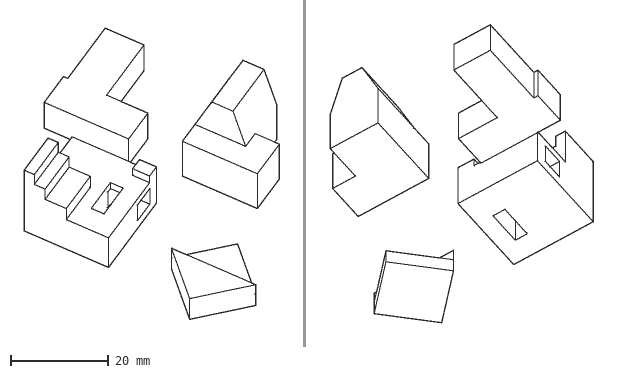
import cadquery as cq


def box(x, y, z, length, width, height):
    """Box with its lowest corner at (x, y, z)."""
    return cq.Workplane("XY").box(length, width, height, centered=False).translate((x, y, z))


module = 20.0
half_module = module / 2

angle_y = 34.2
angle_height = 8.2
angle_foot_width = 8.05
angle_stem_offset = 1.0
angle_stem_length = 9.2
angle_total_width = 23.6

stair_x = 10.1
stair_y = 8.1
stair_base_height = 9.45
steps = [(half_module, 12.95), (5.0, 16.2), (2.4, 19.35)]
stud_length = 4.0
stud_width = 2.9
stud_height = 2.1
slot_x = 12.95
slot_y = 5.2
slot_length = 3.0
slot_width = 8.0
tunnel_y = 12.05
tunnel_z = 2.55
tunnel_width = 5.1
tunnel_height = 5.0

roof_x = 31.1
roof_y = 37.0
roof_base_height = 11.1
roof_foot_length = 17.75
roof_foot_width = 9.2
roof_total_width = 18.2
ridge_length = 12.0
ridge_width = 12.95
ridge_top_start = 4.0
ridge_top_end = 9.0
ridge_height = 9.45

diamond_x = 63.8 - half_module
diamond_y = half_module
diamond_z = 5.7
diamond_height = 6.65
diamond_step = 3.05


def make_angle_block():
    foot = box(0, angle_y, 0, module, angle_foot_width, angle_height)
    stem = box(angle_stem_offset, angle_y, 0, angle_stem_length, angle_total_width, angle_height)
    return foot.union(stem)


def make_stair_block():
    body = box(0, 0, 0, module, module, stair_base_height)
    for reach, height in steps:
        body = body.union(box(0, 0, 0, reach, half_module, height))

    stud = box(
        module - stud_length, module - stud_width, stair_base_height,
        stud_length, stud_width, stud_height,
    )
    slot = box(slot_x, slot_y, 0, slot_length, slot_width, stair_base_height)
    tunnel = box(0, tunnel_y, tunnel_z, module, tunnel_width, tunnel_height)
    return body.union(stud).cut(slot).cut(tunnel).translate((stair_x, stair_y, 0))


def make_roof_block():
    foot = box(0, 0, 0, roof_foot_length, roof_foot_width, roof_base_height)
    stem = box(0, 0, 0, ridge_length, roof_total_width, roof_base_height)
    ridge_top = roof_base_height + ridge_height
    ridge = (
        cq.Workplane("XZ", origin=(0, roof_total_width, 0))
        .moveTo(0, roof_base_height)
        .lineTo(ridge_length, roof_base_height)
        .lineTo(ridge_top_end, ridge_top)
        .lineTo(ridge_top_start, ridge_top)
        .close()
        .extrude(ridge_width)
    )
    return foot.union(stem).union(ridge).translate((roof_x, roof_y, 0))


def make_diamond_block():
    corners = [(-half_module, 0), (0, -half_module), (half_module, 0), (0, half_module)]
    prism = cq.Workplane("XY").polyline(corners).close().extrude(diamond_height)
    rear_cut = box(
        -half_module, 0, diamond_height - diamond_step,
        module, half_module, diamond_step,
    )
    return prism.cut(rear_cut).translate((diamond_x, diamond_y, diamond_z))


angle_block = make_angle_block()
stair_block = make_stair_block()
roof_block = make_roof_block()
diamond_block = make_diamond_block()

result = cq.Compound.makeCompound(
    [angle_block.val(), stair_block.val(), roof_block.val(), diamond_block.val()]
)